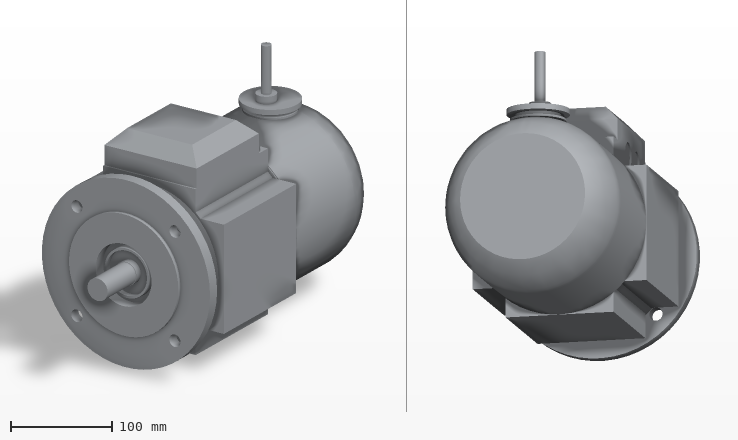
import cadquery as cq
import math


shaft_dia = 24.0
shaft_length = 50.0
shoulder_dia = 25.0
flange_dia = 200.0
flange_thickness = 12.5
spigot_dia = 130.0
spigot_height = 4.0
bolt_circle_dia = 165.0
bolt_hole_dia = 13.3
bolt_count = 4
first_bolt_angle = 45
neck_dia = 106.0
neck_end = 26.5
cap_dia = 136.5
cap_end = 31.0
cap_chamfer = 2.5
shield_dia = 164.0

bore_dia = 66.5
bore_floor = 9.2
seal_base_dia = 54.0
seal_draft = 4
seal_inner_dia = 48.0
seal_front = 1.5
seal_floor = 7.7

stator_front = 41.7
stator_end = 169.7
stator_size = 177.0
notch_side = 30.3
notch_bevel = 5.5

gap_width = 1.0
gap_depth = 1.0
cowl_dia = 177.0
dome_start = 273.8
cowl_end = 319.0
dome_radius = 53.0

box_front = 43.5
box_size = 110.0
box_wall_top = 110.0
box_top = 126.2
conduit_height = 82.0
conduit_depth = 2.0
conduits = [(110.5, 26.0), (76.5, 21.0)]

release_y = 256.0
rod_y = 248.7
release_base_bottom = 88.2
release_base_top = 90.5
release_base_dia = 56.0
release_neck_dia = 45.8
release_disc_bottom = 95.0
release_disc_top = 100.5
release_disc_dia = 62.7
collar_dia = 21.8
collar_top = 108.5
rod_dia = 10.7
rod_top = 160.0


def along_y(diameter, y_start, y_end):
    """Cylinder on the shaft axis between two Y positions."""
    plane = cq.Workplane("XZ", origin=(0, y_start, 0))
    return plane.circle(diameter / 2).extrude(y_start - y_end)


def upright(diameter, y, z_start, z_end):
    """Vertical cylinder over the shaft axis between two heights."""
    plane = cq.Workplane("XY", origin=(0, y, z_start))
    return plane.circle(diameter / 2).extrude(z_end - z_start)


def make_flange():
    flange = along_y(flange_dia, 0, flange_thickness)
    flange = flange.union(along_y(spigot_dia, -spigot_height, 0))
    bolt_holes = (
        cq.Workplane("XZ")
        .polarArray(bolt_circle_dia / 2, first_bolt_angle, 360, bolt_count)
        .circle(bolt_hole_dia / 2)
        .extrude(-flange_thickness)
    )
    return flange.cut(bolt_holes)


def make_drive_end():
    cap = along_y(cap_dia, neck_end, cap_end).faces("<Y").chamfer(cap_chamfer)
    neck = along_y(neck_dia, flange_thickness, neck_end)
    shield = along_y(shield_dia, cap_end, stator_front)
    body = make_flange().union(neck).union(cap).union(shield)
    body = body.cut(along_y(bore_dia, -spigot_height, bore_floor))
    seal = cq.Workplane("XZ", origin=(0, bore_floor, 0)).circle(seal_base_dia / 2)
    seal = seal.extrude(bore_floor - seal_front, taper=seal_draft)
    seal = seal.cut(along_y(seal_inner_dia, seal_front, seal_floor))
    shoulder = along_y(shoulder_dia, 0, seal_floor)
    shaft = along_y(shaft_dia, -shaft_length, 0)
    return body.union(seal).union(shoulder).union(shaft)


def make_stator():
    half = stator_size / 2
    ledge = half - notch_side
    notch_corner = box_size / 2
    bevel_end = notch_corner + notch_bevel
    stator = cq.Workplane("XZ", origin=(0, stator_front, 0))
    stator = stator.rect(stator_size, stator_size).extrude(stator_front - stator_end)
    notch = (
        cq.Workplane("XZ", origin=(0, stator_front, 0))
        .moveTo(half, half)
        .lineTo(half, ledge)
        .lineTo(bevel_end, ledge)
        .lineTo(notch_corner, ledge + notch_bevel)
        .lineTo(notch_corner, half)
        .close()
        .extrude(stator_front - stator_end)
    )
    for mirrored in (notch, notch.mirror("YZ")):
        stator = stator.cut(mirrored).cut(mirrored.mirror("XY"))
    return stator


def make_cowl():
    radius = cowl_dia / 2
    cowl_start = stator_end + gap_width
    dome_length = cowl_end - dome_start
    arc_centre = radius - dome_radius
    end_radius = arc_centre + math.sqrt(dome_radius**2 - dome_length**2)
    half_angle = math.asin(dome_length / dome_radius) / 2
    arc_middle = (
        arc_centre + dome_radius * math.cos(half_angle),
        dome_start + dome_radius * math.sin(half_angle),
    )
    cowl = (
        cq.Workplane("XY")
        .moveTo(0, cowl_start)
        .lineTo(radius, cowl_start)
        .lineTo(radius, dome_start)
        .threePointArc(arc_middle, (end_radius, cowl_end))
        .lineTo(0, cowl_end)
        .close()
        .revolve(360, (0, 0, 0), (0, 1, 0))
    )
    return cowl.union(along_y(cowl_dia - 2 * gap_depth, stator_end, cowl_start))


def make_terminal_box():
    box_y = box_front + box_size / 2
    base = stator_size / 2
    box = cq.Workplane("XY", origin=(0, box_y, base))
    box = box.rect(box_size, box_size).extrude(box_top - base)
    return box.faces(">Z").chamfer(box_top - box_wall_top)


def make_conduit_recesses():
    wall = cq.Workplane("YZ", origin=(-box_size / 2, 0, 0))
    recesses = cq.Workplane("XY")
    for y, diameter in conduits:
        recess = wall.center(y, conduit_height).circle(diameter / 2).extrude(conduit_depth)
        recesses = recesses.add(recess)
    return recesses.combine()


def make_hand_release():
    base = upright(release_base_dia, release_y, release_base_bottom, release_base_top)
    neck = upright(release_neck_dia, release_y, release_base_top, release_disc_bottom)
    disc = upright(release_disc_dia, release_y, release_disc_bottom, release_disc_top)
    collar = upright(collar_dia, rod_y, release_disc_top, collar_top)
    rod = upright(rod_dia, rod_y, collar_top, rod_top)
    return base.union(neck).union(disc).union(collar).union(rod)


result = (
    make_drive_end()
    .union(make_stator())
    .union(make_cowl())
    .union(make_terminal_box())
    .cut(make_conduit_recesses())
    .union(make_hand_release())
)